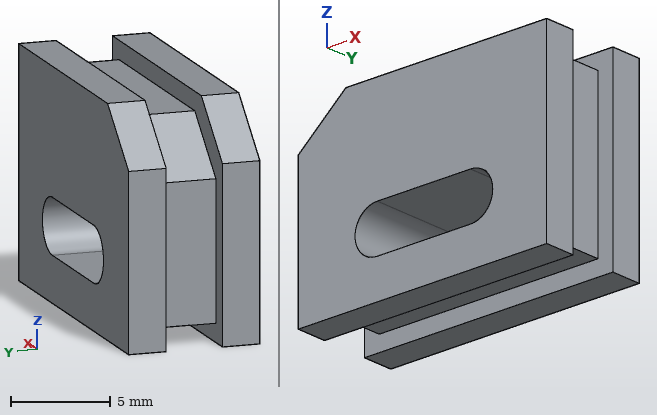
import cadquery as cq

length = 16.8
depth = 7.0
height = 12.3
plate_thickness = 2.0
groove_depth = 1.0

corner_length = 3.23
corner_height = 2.79

slot_length = 9.3
slot_width = 3.0
slot_center_x = 8.5
slot_center_z = 4.0


def cut_corner_slab(inset, y_start, thickness):
    """Slab with a sloped upper -X corner, inset on all edges of the block outline."""
    left = inset
    right = length - inset
    bottom = inset
    top = height - inset
    outline = [
        (left, bottom),
        (right, bottom),
        (right, top),
        (left + corner_length, top),
        (left, top - corner_height),
    ]
    return (
        cq.Workplane("XZ", origin=(0, y_start, 0))
        .polyline(outline)
        .close()
        .extrude(-thickness)
    )


front_plate = cut_corner_slab(0, 0, plate_thickness)
back_plate = cut_corner_slab(0, depth - plate_thickness, plate_thickness)

core = cut_corner_slab(groove_depth, plate_thickness, depth - 2 * plate_thickness)

slot = (
    cq.Workplane("XZ")
    .center(slot_center_x, slot_center_z)
    .slot2D(slot_length, slot_width)
    .extrude(-depth)
)

result = front_plate.union(core).union(back_plate).cut(slot)